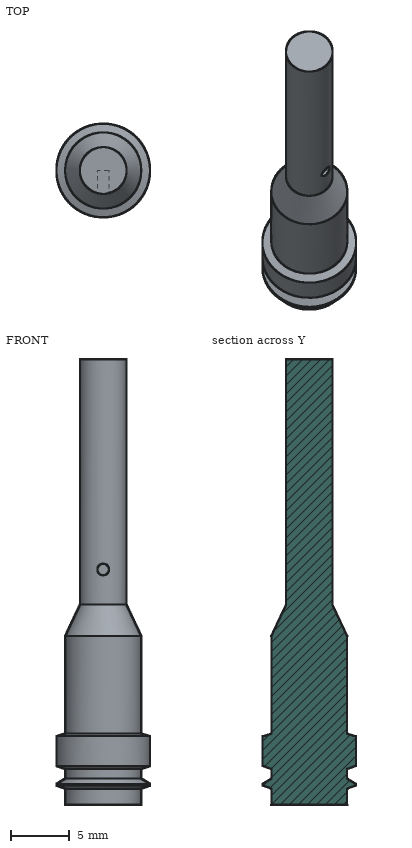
import cadquery as cq

pin_diameter = 4.0
body_diameter = 6.5
collar_diameter = 8.0
hole_diameter = 1.0

ridge_bottom = 1.35
ridge_land_bottom = 1.65
ridge_land_top = 1.8
ridge_top = 2.25
collar_underside = 3.05
collar_bottom = 3.3
collar_top = 5.85
collar_shoulder = 6.08
taper_bottom = 14.4
taper_top = 17.05
total_height = 38.0
hole_height = 20.05

pin_radius = pin_diameter / 2
body_radius = body_diameter / 2
collar_radius = collar_diameter / 2


def turned_body():
    """Revolve the half profile about Z: ridge, collar, body, taper and pin."""
    profile = [
        (0, 0),
        (body_radius, 0),
        (body_radius, ridge_bottom),
        (collar_radius, ridge_land_bottom),
        (collar_radius, ridge_land_top),
        (body_radius, ridge_top),
        (body_radius, collar_underside),
        (collar_radius, collar_bottom),
        (collar_radius, collar_top),
        (body_radius, collar_shoulder),
        (body_radius, taper_bottom),
        (pin_radius, taper_top),
        (pin_radius, total_height),
        (0, total_height),
    ]
    return cq.Workplane("XZ").polyline(profile).close().revolve(360, (0, 0), (0, 1))


def side_hole():
    """Blind radial hole entering the pin from -Y and ending at its axis."""
    return (
        cq.Workplane("XZ")
        .center(0, hole_height)
        .circle(hole_diameter / 2)
        .extrude(pin_diameter)
    )


result = turned_body().cut(side_hole())